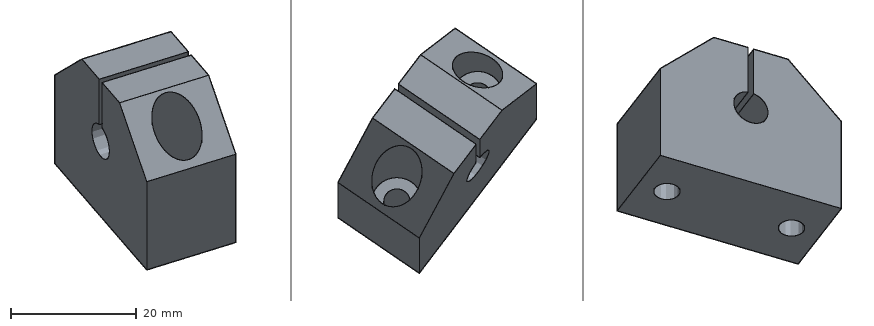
import cadquery as cq

length = 32.0
width = 16.0
height = 27.0
corner_cut = 9.45

bore_diameter = 6.0
bore_height = 15.0
slot_width = 1.0

screw_spacing = 22.0
screw_diameter = 4.2
head_diameter = 8.0
head_seat_height = 10.0


def make_block():
    """Block centred on X and Y, standing on Z = 0, with sloped upper corners."""
    block = cq.Workplane("XY").box(length, width, height, centered=(True, True, False))
    return block.faces(">Z").edges("|Y").chamfer(corner_cut)


def make_clamp_cut():
    """Shaft bore and the slot that opens it to the top face."""
    bore = (
        cq.Workplane("XZ")
        .center(0, bore_height)
        .circle(bore_diameter / 2)
        .extrude(width / 2, both=True)
    )
    slot = (
        cq.Workplane("XY")
        .workplane(offset=bore_height)
        .rect(slot_width, width)
        .extrude(height - bore_height)
    )
    return bore.union(slot)


def make_vertical_holes(diameter, bottom):
    """Pair of vertical cylinders reaching from the given height to the top."""
    return (
        cq.Workplane("XY")
        .workplane(offset=bottom)
        .pushPoints([(-screw_spacing / 2, 0), (screw_spacing / 2, 0)])
        .circle(diameter / 2)
        .extrude(height - bottom)
    )


result = (
    make_block()
    .cut(make_clamp_cut())
    .cut(make_vertical_holes(screw_diameter, 0))
    .cut(make_vertical_holes(head_diameter, head_seat_height))
)